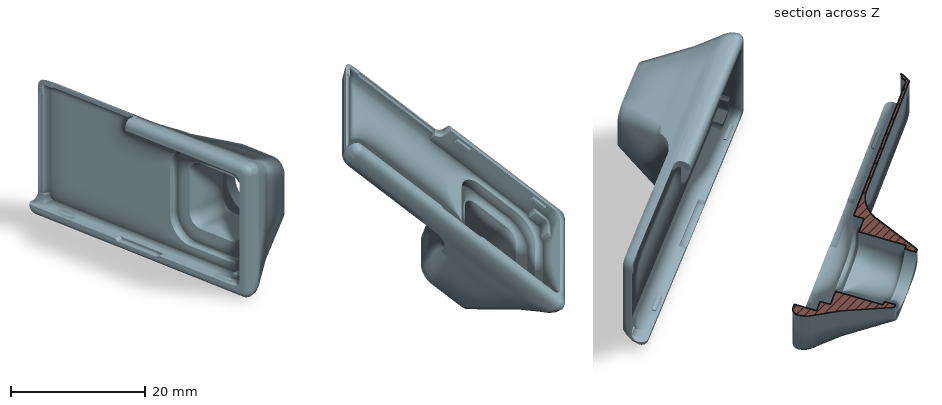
import cadquery as cq

LENGTH = 44.8
HEIGHT = 21.83
DEPTH = 14.4

RIM_DEPTH = 2.25
PLATE_DEPTH = 4.0
PLATE_INSET = 1.05
CORNER_RADIUS = 1.35
FRONT_ROUND = 1.05
SIDE_ROUND = 3.15
WALL = 1.65
FLOOR_DEPTH = 3.5
CAVITY_RADIUS = 1.35
CAVITY_LEFT_RADIUS = 0.65

AXIS_X = 33.65
AXIS_Z = HEIGHT / 2
SHOULDER_DEPTH = 7.05
SHOULDER_SIZE = 16.85
SHOULDER_RADIUS = 1.6
TIP_SIZE = 10.65
TIP_RADIUS = 2.25
FOOT_X = 17.95
FLARE_START_X = 20.6
FLARE_START_DEPTH = 3.95
FLARE_MID_X = 23.9
FLARE_MID_DEPTH = 5.1

RECESS_SIZE = 15.65
RECESS_RADIUS = 4.05
RECESS_DEPTH = 5.1
TUNNEL_SIZE = 10.8
TUNNEL_RADIUS = 2.25
TUNNEL_DEPTH = 12.55
HOLE_DIAMETER = 9.55

OPENING_END_X = 20.05
OPENING_DEPTH = 2.35
OPENING_ROUND = 1.05
LEDGE_WIDTH = 1.0
LEDGE_END_X = 19.05
LEDGE_BOTTOM_Z = 2.7
LEDGE_ROUND = 0.63
NOTCH_EDGE = 0.4
NOTCH_DEPTH = 0.25
NOTCH_ROUND = 0.22
NOTCH_CORNER = 2.85

STOP_TOP_DEPTH = 1.9
STOP_LENGTH = 3.15
STOP_HEIGHT = 3.7
STOP_SIDE_WIDTH = 0.63
STOP_END_WIDTH = 0.75
STOP_BEVEL = 0.45
STOP_END_RADIUS = 0.9
STOP_INNER_RADIUS = 0.3

RIB_LENGTH = 2.75
RIB_START_DEPTH = 0.4
RIB_WIDTH = 0.65
RIB_HEIGHT = 0.25
RIB_RAMP = 0.2
LOWER_RIBS_X = (5.9, 37.95)
UPPER_RIBS_X = (21.95, 37.95)

GRIP_START_X = 17.95
GRIP_LENGTH = 8.85
GRIP_SLOPE = 0.5
GRIP_DROP = 0.3
GRIP_DEPTH = 1.08


def box(x0, x1, y0, y1, z0, z1):
    """Box between two opposite corners."""
    corner = cq.Workplane("XY", origin=(x0, y0, z0))
    return corner.box(x1 - x0, y1 - y0, z1 - z0, centered=False)


def rounded_outline(x0, x1, z0, z1, radius, y):
    """Closed rounded rectangle lying at depth y."""
    corners = [(x0, y, z0), (x1, y, z0), (x1, y, z1), (x0, y, z1)]
    wire = cq.Wire.makePolygon([cq.Vector(*corner) for corner in corners], close=True)
    face = cq.Face.makeFromWires(wire)
    return face.fillet2D(radius, face.Vertices()).outerWire()


def centred_outline(size, radius, y):
    """Rounded square around the lens axis at depth y."""
    half = size / 2
    return rounded_outline(AXIS_X - half, AXIS_X + half, AXIS_Z - half, AXIS_Z + half, radius, y)


def loft(near, far):
    """Straight-sided solid between two outlines."""
    return cq.Workplane(obj=cq.Solid.makeLoft([near, far], True))


def plate_outline(inset, y, left=0.0):
    """Plate edge stepped in by an inset, with an optional shifted left end."""
    return rounded_outline(left + inset, LENGTH - inset, inset, HEIGHT - inset, CORNER_RADIUS, y)


def plate():
    """Plate with a rounded front rim blending into a tapered back."""
    rim = loft(plate_outline(0, 0), plate_outline(0, RIM_DEPTH)).faces("<Y").edges().fillet(FRONT_ROUND)
    back = loft(plate_outline(0, RIM_DEPTH), plate_outline(PLATE_INSET, PLATE_DEPTH))
    shell = rim.union(back)
    band = 0.05
    near_corner = (-band, RIM_DEPTH - band, -band)
    far_corner = (LENGTH + band, RIM_DEPTH + band, HEIGHT + band)
    widest = cq.selectors.BoxSelector(near_corner, far_corner)
    return shell.edges(widest).fillet(SIDE_ROUND)


def housing():
    """Two tapered stages behind the plate, with a concave left flank on the lower one."""
    foot = plate_outline(PLATE_INSET, PLATE_DEPTH, left=FOOT_X - PLATE_INSET)
    shoulder = centred_outline(SHOULDER_SIZE, SHOULDER_RADIUS, SHOULDER_DEPTH)
    tip = centred_outline(TIP_SIZE, TIP_RADIUS, DEPTH)
    shoulder_x = AXIS_X - SHOULDER_SIZE / 2
    hollow = (
        cq.Workplane("XY")
        .moveTo(FLARE_START_X, FLARE_START_DEPTH)
        .threePointArc((FLARE_MID_X, FLARE_MID_DEPTH), (shoulder_x, SHOULDER_DEPTH))
        .lineTo(shoulder_x, DEPTH)
        .lineTo(0, DEPTH)
        .lineTo(0, FLARE_START_DEPTH)
        .close()
        .extrude(HEIGHT)
    )
    return loft(foot, shoulder).cut(hollow).union(loft(shoulder, tip))


def cavity():
    """Main pocket, open at the front."""
    space = box(WALL, LENGTH - WALL, 0, FLOOR_DEPTH, WALL, HEIGHT - WALL)
    return space.edges("|Y and >X").fillet(CAVITY_RADIUS).edges("|Y and <X").fillet(CAVITY_LEFT_RADIUS)


def housing_openings():
    """Stepped square recess, square tunnel and round hole along the lens axis."""
    recess = loft(
        centred_outline(RECESS_SIZE, RECESS_RADIUS, RIM_DEPTH),
        centred_outline(RECESS_SIZE, RECESS_RADIUS, RECESS_DEPTH),
    )
    tunnel = loft(
        centred_outline(TUNNEL_SIZE, TUNNEL_RADIUS, RIM_DEPTH),
        centred_outline(TUNNEL_SIZE, TUNNEL_RADIUS, TUNNEL_DEPTH),
    )
    hole = cq.Workplane("XZ").center(AXIS_X, AXIS_Z).circle(HOLE_DIAMETER / 2).extrude(-DEPTH)
    return recess.union(tunnel).union(hole)


def corner_opening():
    """Missing rim, the rounded trough inside the ledge, and the two notches in the ledge."""
    rim_gap = box(0, OPENING_END_X, 0, OPENING_DEPTH, WALL, HEIGHT)
    rim_gap = rim_gap.faces(">Y").edges(">X or <Z").fillet(OPENING_ROUND)
    trough = box(LEDGE_WIDTH, LEDGE_END_X, 0, FLOOR_DEPTH, LEDGE_BOTTOM_Z, HEIGHT - LEDGE_WIDTH)
    trough = trough.faces(">Y").edges("<X or >Z").fillet(LEDGE_ROUND)
    trough = trough.intersect(box(0, LENGTH, RIM_DEPTH, FLOOR_DEPTH, 0, HEIGHT))
    notch_end = OPENING_DEPTH + NOTCH_DEPTH
    side_notch = box(NOTCH_EDGE, WALL, RIM_DEPTH, notch_end, LEDGE_BOTTOM_Z, HEIGHT - NOTCH_CORNER)
    side_notch = side_notch.faces(">Y").edges("<X or >Z").fillet(NOTCH_ROUND)
    top_notch = box(NOTCH_CORNER, LEDGE_END_X, RIM_DEPTH, notch_end, HEIGHT - WALL, HEIGHT - NOTCH_EDGE)
    top_notch = top_notch.faces(">Y").edges("<X or >Z").fillet(NOTCH_ROUND)
    return rim_gap.union(trough).union(side_notch).union(top_notch)


def lower_corner_stop():
    """L-shaped stop in the lower right corner of the floor, with hollowed ends."""
    right = LENGTH - WALL
    inner_x = right - STOP_SIDE_WIDTH
    inner_z = WALL + STOP_END_WIDTH
    left = right - STOP_LENGTH
    top = WALL + STOP_HEIGHT
    stop = (
        cq.Workplane("XZ", origin=(0, STOP_TOP_DEPTH, 0))
        .moveTo(right, WALL)
        .lineTo(right, top)
        .radiusArc((inner_x, top - STOP_BEVEL), STOP_END_RADIUS)
        .lineTo(inner_x, inner_z)
        .lineTo(left, inner_z)
        .radiusArc((left - STOP_BEVEL, WALL), STOP_END_RADIUS)
        .close()
        .extrude(STOP_TOP_DEPTH - FLOOR_DEPTH)
    )
    inner_corner = cq.selectors.NearestToPointSelector((inner_x, FLOOR_DEPTH, inner_z))
    stop = stop.edges("|Y").edges(inner_corner).fillet(STOP_INNER_RADIUS)
    return stop.intersect(cavity())


def snap_rib(x, wall_z, direction):
    """Rib with a short lead-in ramp on the open side and a flat crest."""
    end_depth = RIB_START_DEPTH + RIB_WIDTH
    crest_z = wall_z + direction * RIB_HEIGHT
    outline = [
        (RIB_START_DEPTH, wall_z),
        (RIB_START_DEPTH + RIB_RAMP, crest_z),
        (end_depth, crest_z),
        (end_depth, wall_z),
    ]
    return cq.Workplane("YZ", origin=(x, 0, 0)).polyline(outline).close().extrude(RIB_LENGTH)


def grip_notch():
    """Slope-ended cut in the inner face of the lower rim."""
    end = GRIP_START_X + GRIP_LENGTH
    outline = [
        (GRIP_START_X, WALL),
        (GRIP_START_X + GRIP_SLOPE, WALL - GRIP_DROP),
        (end - GRIP_SLOPE, WALL - GRIP_DROP),
        (end, WALL),
    ]
    return cq.Workplane("XZ").polyline(outline).close().extrude(-GRIP_DEPTH)


result = plate().union(housing())
result = result.cut(cavity()).cut(housing_openings()).cut(corner_opening()).cut(grip_notch())

lower_stop = lower_corner_stop()
result = result.union(lower_stop).union(lower_stop.mirror("XY", (0, 0, HEIGHT / 2)))

for rib_x in LOWER_RIBS_X:
    result = result.union(snap_rib(rib_x, WALL, 1))
for rib_x in UPPER_RIBS_X:
    result = result.union(snap_rib(rib_x, HEIGHT - WALL, -1))